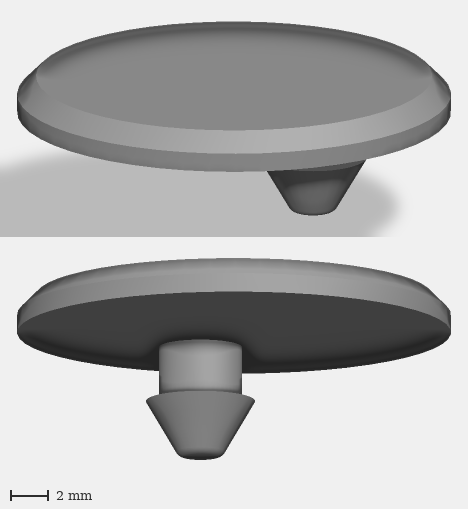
import cadquery as cq

disc_diameter = 23.0
disc_thickness = 2.0
disc_chamfer = 1.0

peg_offset_y = 4.5
stem_diameter = 4.4
stem_length = 2.9
barb_diameter = 5.8
barb_length = 3.0
barb_tip_diameter = 2.3
barb_tip_fillet = 0.5


def make_disc():
    """Round cap with a chamfered top rim."""
    disc = cq.Workplane("XY").circle(disc_diameter / 2).extrude(disc_thickness)
    return disc.faces(">Z").edges().chamfer(disc_chamfer)


def make_stem():
    """Plain cylinder joining the disc to the barb."""
    return cq.Workplane("XY").center(0, peg_offset_y).circle(stem_diameter / 2).extrude(-stem_length)


def make_barb():
    """Cone widening to a catch shoulder at the stem, with a rounded tip."""
    barb = (
        cq.Workplane("XY", origin=(0, peg_offset_y, -stem_length - barb_length))
        .circle(barb_tip_diameter / 2)
        .workplane(offset=barb_length)
        .circle(barb_diameter / 2)
        .loft()
    )
    return barb.faces("<Z").edges().fillet(barb_tip_fillet)


result = make_disc().union(make_stem()).union(make_barb())